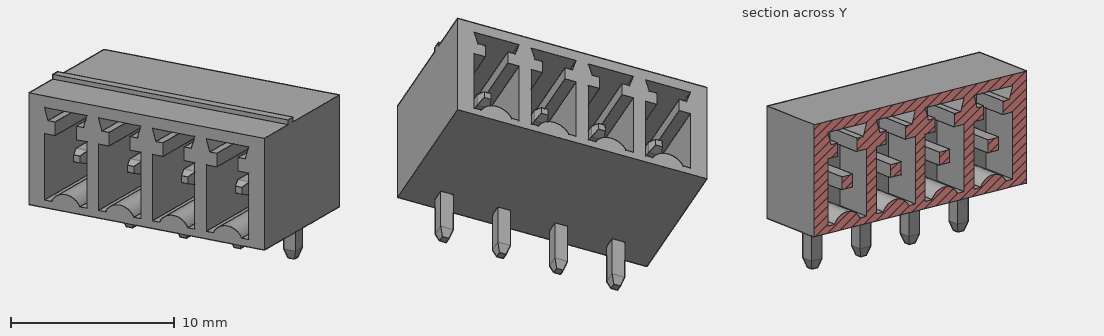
import cadquery as cq

housing_width = 16.63
housing_depth = 9.2
housing_height = 7.25

rib_height = 0.3
rib_width = 0.62
rib_front = 2.91

contact_count = 4
contact_pitch = 3.8

back_wall = 2.0
cavity_depth = housing_depth - back_wall
cavity_width = 3.0
floor_height = 0.5
shoulder_height = 4.8
neck_width = 1.5
neck_top = 5.69
flare_bottom_width = 2.5
cavity_top = 6.5

ridge_width = 2.01
ridge_height = 0.62

pin_size = 0.85
pin_tip_size = 0.45
pin_tip_length = 0.62
pin_axis_height = 3.01
pin_front = 1.36
leg_length = 3.4
leg_from_back = 1.2
leg_y = housing_depth - leg_from_back


def make_housing():
    body = cq.Workplane("XY").box(
        housing_width, housing_depth, housing_height, centered=(True, False, False)
    )
    rib = (
        cq.Workplane("XY", origin=(0, rib_front, housing_height))
        .box(housing_width, rib_width, rib_height, centered=(True, False, False))
    )
    return body.union(rib)


def make_cavity(x):
    """Keyhole-shaped pocket volume with a rounded ridge left on its floor."""
    half_width = cavity_width / 2
    half_neck = neck_width / 2
    half_flare = flare_bottom_width / 2
    half_ridge = ridge_width / 2
    return (
        cq.Workplane("XZ", origin=(x, 0, 0))
        .moveTo(-half_width, floor_height)
        .lineTo(-half_ridge, floor_height)
        .threePointArc((0, floor_height + ridge_height), (half_ridge, floor_height))
        .lineTo(half_width, floor_height)
        .lineTo(half_width, shoulder_height)
        .lineTo(half_neck, shoulder_height)
        .lineTo(half_neck, neck_top)
        .lineTo(half_flare, neck_top)
        .lineTo(half_width, cavity_top)
        .lineTo(-half_width, cavity_top)
        .lineTo(-half_flare, neck_top)
        .lineTo(-half_neck, neck_top)
        .lineTo(-half_neck, shoulder_height)
        .lineTo(-half_width, shoulder_height)
        .close()
        .extrude(-cavity_depth)
    )


def make_pin_arm(tip, inward, length):
    """Square bar with a tapered tip, running from the tip along the inward direction."""
    plane = cq.Plane(origin=tip, xDir=(1, 0, 0), normal=inward)
    taper = (
        cq.Workplane(plane)
        .rect(pin_tip_size, pin_tip_size)
        .workplane(offset=pin_tip_length)
        .rect(pin_size, pin_size)
        .loft(ruled=True)
    )
    bar = (
        cq.Workplane(plane)
        .workplane(offset=pin_tip_length)
        .rect(pin_size, pin_size)
        .extrude(length - pin_tip_length)
    )
    return taper.union(bar)


def make_pin(x):
    """Contact arm in the cavity, bent down inside the back wall into a solder leg."""
    contact_length = leg_y + pin_size / 2 - pin_front
    contact = make_pin_arm((x, pin_front, pin_axis_height), (0, 1, 0), contact_length)
    leg = make_pin_arm((x, leg_y, -leg_length), (0, 0, 1), leg_length + pin_axis_height)
    return contact.union(leg)


result = make_housing()
first_contact_x = -contact_pitch * (contact_count - 1) / 2
for index in range(contact_count):
    contact_x = first_contact_x + index * contact_pitch
    result = result.cut(make_cavity(contact_x)).union(make_pin(contact_x))